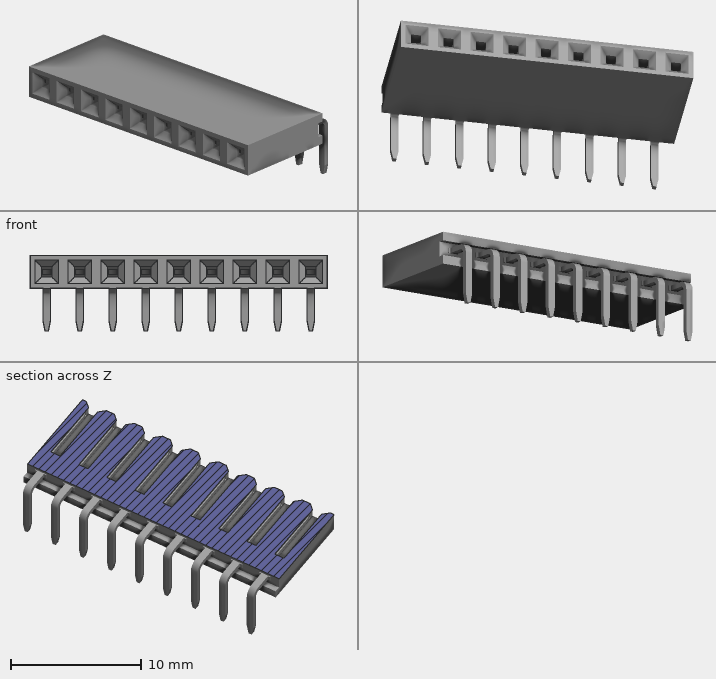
import cadquery as cq
import math


position_count = 9
row_length = 22.85
pitch = row_length / position_count
body_height = pitch
body_depth = 8.5

groove_depth = 0.48
groove_height = 1.17

funnel_width = 1.8
hole_width = 0.8
funnel_depth = 0.48
hole_depth = 5.95

strip_thickness = 0.4
pin_width = 0.6
pin_reach = 10.2
pin_drop = 5.83
bend_outer_radius = 0.75
bend_inner_radius = bend_outer_radius - strip_thickness
tip_length = 0.78
shoulder_width = 1.0
shoulder_length = 0.07
tip_width = 0.27

slot_setback = 0.35
slot_width = 1.37
slot_length = 0.18
arm_start = funnel_depth + slot_setback + slot_length
throat_width = 0.65
mouth_length = 0.35
fork_bottom_angle = 40.0

socket_positions = [(i - (position_count - 1) / 2) * pitch for i in range(position_count)]


def make_housing():
    body = cq.Workplane("XY").box(row_length, body_depth, body_height, centered=(True, False, True))
    groove = (
        cq.Workplane("XY")
        .box(row_length, groove_depth, groove_height, centered=(True, False, True))
        .translate((0, body_depth - groove_depth, 0))
    )
    return body.cut(groove)


def make_fork_gap():
    """Gap between the two arms: a tapered mouth, a straight throat and a rounded bottom."""
    throat_start = arm_start + mouth_length
    half_mouth = hole_width / 2
    half_throat = throat_width / 2
    bottom_rise = half_throat * math.tan(math.radians(fork_bottom_angle / 2))
    return (
        cq.Workplane("XY", origin=(0, 0, -strip_thickness / 2))
        .moveTo(-half_mouth, arm_start)
        .lineTo(-half_throat, throat_start)
        .lineTo(-half_throat, hole_depth - bottom_rise)
        .threePointArc((0, hole_depth), (half_throat, hole_depth - bottom_rise))
        .lineTo(half_throat, throat_start)
        .lineTo(half_mouth, arm_start)
        .close()
        .extrude(strip_thickness)
    )


def make_clearance_slot():
    """Flat slot across the hole, just in front of the arm tips."""
    return (
        cq.Workplane("XY")
        .box(slot_width, slot_length, strip_thickness, centered=(True, False, True))
        .translate((0, funnel_depth + slot_setback, 0))
    )


def make_socket_cavity():
    """Everything removed for one socket: funnel, square hole, clearance slot and fork gap."""
    funnel = (
        cq.Workplane("XZ")
        .rect(funnel_width, funnel_width)
        .workplane(offset=-funnel_depth)
        .rect(hole_width, hole_width)
        .loft(ruled=True)
    )
    hole = (
        cq.Workplane("XY")
        .box(hole_width, hole_depth - funnel_depth, hole_width, centered=(True, False, True))
        .translate((0, funnel_depth, 0))
    )
    arms = (
        cq.Workplane("XY")
        .box(hole_width, hole_depth - arm_start, strip_thickness, centered=(True, False, True))
        .translate((0, arm_start, 0))
    )
    return funnel.union(hole).cut(arms).union(make_fork_gap()).union(make_clearance_slot())


def make_pin():
    """Bent strip, given its tapered tip by intersecting its side and front outlines."""
    root = body_depth - groove_depth
    top = strip_thickness / 2
    bottom = body_height / 2 - pin_drop
    side_profile = (
        cq.Workplane("YZ")
        .moveTo(root, top)
        .lineTo(pin_reach - bend_outer_radius, top)
        .radiusArc((pin_reach, top - bend_outer_radius), bend_outer_radius)
        .lineTo(pin_reach, bottom)
        .lineTo(pin_reach - strip_thickness, bottom)
        .lineTo(pin_reach - strip_thickness, top - bend_outer_radius)
        .radiusArc((pin_reach - bend_outer_radius, -top), -bend_inner_radius)
        .lineTo(root, -top)
        .close()
        .extrude(pin_width / 2, both=True)
    )
    front_profile = (
        cq.Workplane("XZ")
        .moveTo(-pin_width / 2, top)
        .lineTo(-pin_width / 2, bottom + tip_length)
        .lineTo(-tip_width / 2, bottom)
        .lineTo(tip_width / 2, bottom)
        .lineTo(pin_width / 2, bottom + tip_length)
        .lineTo(pin_width / 2, top)
        .close()
        .extrude(-pin_reach)
    )
    shoulder = (
        cq.Workplane("XY")
        .box(shoulder_width, shoulder_length, strip_thickness, centered=(True, False, True))
        .translate((0, root, 0))
    )
    return side_profile.intersect(front_profile).union(shoulder)


cavity = make_socket_cavity()
pin = make_pin()

result = make_housing()
for x in socket_positions:
    result = result.cut(cavity.translate((x, 0, 0)))
    result = result.union(pin.translate((x, 0, 0)))